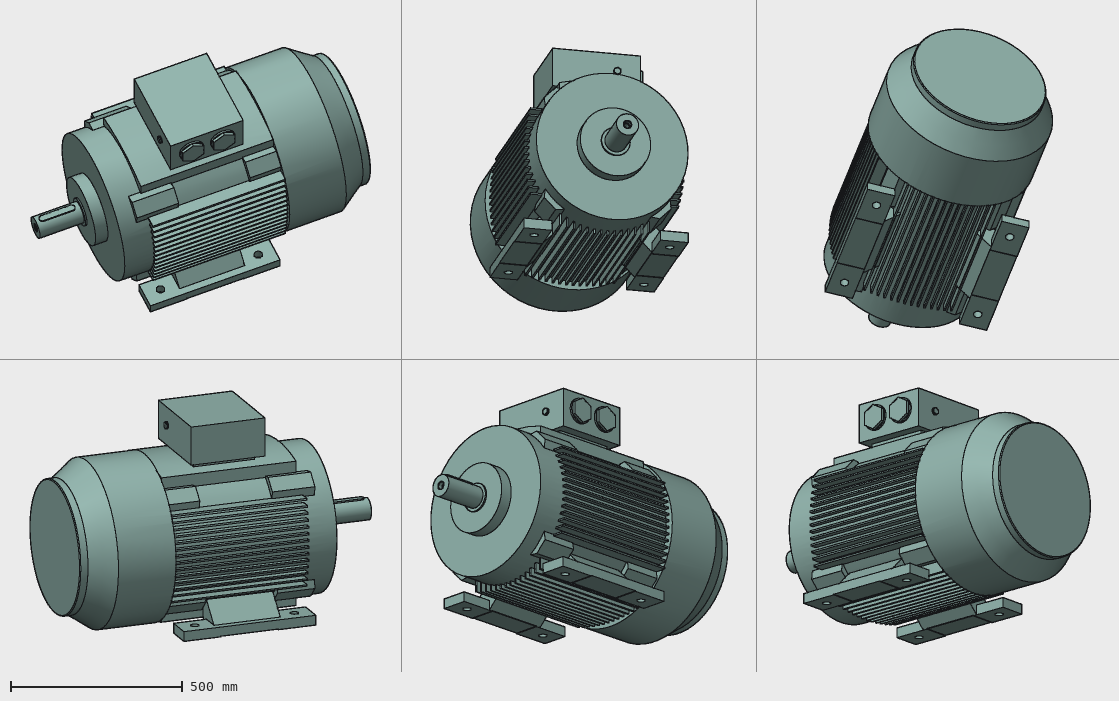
import cadquery as cq
import math


core_radius = 228.0
cowl_radius = 508.0 / 2
cowl_rim_radius = 202.0
boss_radius = 106.0
boss_length = 39
cowl_front_y = 513.0
cowl_cone_y = 693.0
cowl_rim_y = 769.0
cowl_rear_y = 794.0
cowl_rear_chamfer = 3.0

fin_front_y = 92.0
fin_count = 14
fin_span = 265.0
fin_pitch = fin_span / (fin_count - 1)
fin_thickness = 5.0
pack_crown = 241.0
pack_shoulder = 222.0
pack_half_width = (fin_span + fin_thickness) / 2
pack_base = 117

pad_reach = 191.0
pad_inner = 117
pad_chamfer = 34.0
pad_taper = 5.0
pad_front_y = 55.0
upper_pad_gap = (188.0, 415.0)
lower_pad_gap = (171.0, 395.0)

foot_outer_x = 246.0
foot_width = 83.0
foot_bottom_z = -249.0
foot_thickness = 30.0
foot_front_y = 73.0
foot_length = 413.0
foot_hole_diameter = 24.0
foot_hole_x = 203.0
foot_hole_spacing = 311.0
foot_relief_length = 180.0
foot_relief_depth = 2.0
web_length = 207.0
web_outer_x = 224.0
web_rise = 88

box_width = 264
box_length = 231.0
box_front_y = 188.0
box_bottom_z = 248.0
box_top_z = 366.0
neck_width = 198.0
neck_length = 192.0
fitting_z = 311.0
plug_x = 62.0
plug_radius = 11.0
plug_flange_thickness = 3.0
plug_nut_thickness = 4.0
gland_radius = 38.0
gland_spacing = 99.0
gland_flange_thickness = 6.0
gland_nut_thickness = 9.0

shaft_radius = 33.0
shaft_length = 140.0
shoulder_radius = 43.0
shoulder_length = 5.0
key_width = 20
key_length = 113.0
key_top_z = 36.0
key_tip_gap = 12.0
center_mouth_radius = 13.0
center_recess_radius = 11.0
center_recess_depth = 15.0
center_hole_radius = 8.0
center_hole_depth = 39
drill_half_angle = 60

box_center_y = box_front_y + box_length / 2
foot_center_y = foot_front_y + foot_length / 2
foot_top_z = foot_bottom_z + foot_thickness
foot_inner_x = foot_outer_x - foot_width
foot_center_x = foot_outer_x - foot_width / 2


def prism_y(points, start_y, end_y):
    """Closed (x, z) outline extruded between two Y positions."""
    plane = cq.Workplane("XZ", origin=(0, start_y, 0))
    return plane.polyline(points).close().extrude(start_y - end_y)


def turned_housing():
    """Shield boss, stator core and fan cowl as one turned shape."""
    return (
        cq.Workplane("YZ")
        .moveTo(-boss_length, 0)
        .lineTo(-boss_length, boss_radius)
        .lineTo(0, boss_radius)
        .lineTo(0, core_radius)
        .lineTo(cowl_front_y, core_radius)
        .lineTo(cowl_front_y, cowl_radius)
        .lineTo(cowl_cone_y, cowl_radius)
        .lineTo(cowl_rim_y, cowl_rim_radius)
        .lineTo(cowl_rear_y, cowl_rim_radius)
        .lineTo(cowl_rear_y, 0)
        .close()
        .revolve(360, (0, 0, 0), (1, 0, 0))
        .faces(">Y")
        .chamfer(cowl_rear_chamfer)
    )


def arched_block():
    """Saddle on top of the core, with a flat arched crown."""
    return (
        cq.Workplane("XZ", origin=(0, fin_front_y, 0))
        .moveTo(-pack_half_width, pack_base)
        .lineTo(-pack_half_width, pack_shoulder)
        .threePointArc((0, pack_crown), (pack_half_width, pack_shoulder))
        .lineTo(pack_half_width, pack_base)
        .close()
        .extrude(fin_front_y - cowl_front_y)
    )


def fin_pack():
    """Upright fins with tips that follow the arched block's crown."""
    length = cowl_front_y - fin_front_y
    offsets = [i * fin_pitch - fin_span / 2 for i in range(fin_count)]
    slabs = (
        cq.Workplane("XY", origin=(0, fin_front_y + length / 2, pack_base))
        .pushPoints([(offset, 0) for offset in offsets])
        .rect(fin_thickness, length)
        .extrude(pack_crown - pack_base)
    )
    return slabs.intersect(arched_block())


def corner_pads(x_sign, z_sign, gap):
    """Front and rear pad in one diagonal corner, with a gap between them."""
    outline = [
        (pad_inner, pad_inner),
        (pad_reach - pad_taper, pad_inner),
        (pad_reach, pad_reach - pad_chamfer),
        (pad_reach - pad_chamfer, pad_reach),
        (pad_inner, pad_reach - pad_taper),
    ]
    points = [(x_sign * x, z_sign * z) for x, z in outline]
    gap_start, gap_end = gap
    front = prism_y(points, pad_front_y, gap_start)
    rear = prism_y(points, gap_end, cowl_front_y)
    return front.union(rear)


def foot(x_sign):
    """Drilled foot bar, relieved underneath, and the slanted web that joins it to the core."""
    bar = (
        cq.Workplane("XY", origin=(x_sign * foot_center_x, foot_center_y, foot_bottom_z))
        .rect(foot_width, foot_length)
        .extrude(foot_thickness)
    )
    web_outline = [
        (web_outer_x, foot_top_z),
        (web_outer_x - web_rise, foot_top_z + web_rise),
        (foot_inner_x - web_rise, foot_bottom_z + web_rise),
        (foot_inner_x, foot_bottom_z),
    ]
    web = prism_y(
        [(x_sign * x, z) for x, z in web_outline],
        foot_center_y - web_length / 2,
        foot_center_y + web_length / 2,
    )
    holes = (
        cq.Workplane("XY", origin=(x_sign * foot_hole_x, foot_center_y, foot_bottom_z))
        .pushPoints([(0, -foot_hole_spacing / 2), (0, foot_hole_spacing / 2)])
        .circle(foot_hole_diameter / 2)
        .extrude(foot_thickness)
    )
    relief = (
        cq.Workplane("XY", origin=(x_sign * foot_center_x, foot_center_y, foot_bottom_z))
        .rect(foot_width, foot_relief_length)
        .extrude(foot_relief_depth)
    )
    return bar.union(web).cut(holes).cut(relief)


def terminal_box():
    """Box on its neck, with a plug at each end and two cable glands."""
    box = (
        cq.Workplane("XY", origin=(0, box_center_y, box_bottom_z))
        .rect(box_width, box_length)
        .extrude(box_top_z - box_bottom_z)
    )
    neck = (
        cq.Workplane("XY", origin=(0, box_center_y, pack_base))
        .rect(neck_width, neck_length)
        .extrude(box_bottom_z - pack_base)
    )
    box = box.union(neck)
    for y_sign in (-1, 1):
        plug = hex_fitting(plug_radius, plug_flange_thickness, plug_nut_thickness)
        plug = plug.rotate((0, 0, 0), (0, 0, 1), y_sign * 90)
        box = box.union(plug.translate((plug_x, box_center_y + y_sign * box_length / 2, fitting_z)))
        gland = hex_fitting(gland_radius, gland_flange_thickness, gland_nut_thickness)
        gland_y = box_center_y + y_sign * gland_spacing / 2
        box = box.union(gland.translate((box_width / 2, gland_y, fitting_z)))
    return box


def hex_fitting(radius, flange_thickness, nut_thickness):
    """Round flange and hexagonal nut along +X, with a corner of the nut pointing up."""
    flange = cq.Workplane("YZ").circle(radius).extrude(flange_thickness)
    nut = (
        cq.Workplane("YZ", origin=(flange_thickness, 0, 0))
        .transformed(rotate=(0, 0, 90))
        .polygon(6, 2 * radius)
        .extrude(nut_thickness)
    )
    return flange.union(nut)


def motor_housing():
    """Complete housing: frame, fins, pads, feet and terminal box."""
    body = turned_housing().union(arched_block())
    for angle in (90, 180, 270):
        body = body.union(fin_pack().rotate((0, 0, 0), (0, 1, 0), angle))
    for x_sign in (-1, 1):
        body = body.union(corner_pads(x_sign, 1, upper_pad_gap))
        body = body.union(corner_pads(x_sign, -1, lower_pad_gap))
        body = body.union(foot(x_sign))
    return body.union(terminal_box())


def drive_shaft():
    """Shaft end with its shoulder, key and stepped center hole."""
    shoulder_y = -boss_length - shoulder_length
    tip_y = shoulder_y - shaft_length
    shaft = (
        cq.Workplane("XZ", origin=(0, -boss_length, 0))
        .circle(shoulder_radius)
        .extrude(shoulder_length)
        .faces("<Y")
        .workplane()
        .circle(shaft_radius)
        .extrude(shaft_length)
    )
    key = (
        cq.Workplane("XY", origin=(0, tip_y + key_tip_gap + key_length / 2, 0))
        .slot2D(key_length, key_width, 90)
        .extrude(key_top_z)
    )
    mouth_depth = center_mouth_radius - center_recess_radius
    drill_tip = center_hole_radius / math.tan(math.radians(drill_half_angle))
    hole = (
        cq.Workplane("XY")
        .moveTo(0, tip_y)
        .lineTo(center_mouth_radius, tip_y)
        .lineTo(center_recess_radius, tip_y + mouth_depth)
        .lineTo(center_recess_radius, tip_y + center_recess_depth)
        .lineTo(center_hole_radius, tip_y + center_recess_depth)
        .lineTo(center_hole_radius, tip_y + center_hole_depth)
        .lineTo(0, tip_y + center_hole_depth + drill_tip)
        .close()
        .revolve(360, (0, 0, 0), (0, 1, 0))
    )
    return shaft.union(key).cut(hole)


housing = motor_housing()
shaft = drive_shaft()

result = cq.Compound.makeCompound([housing.val(), shaft.val()])